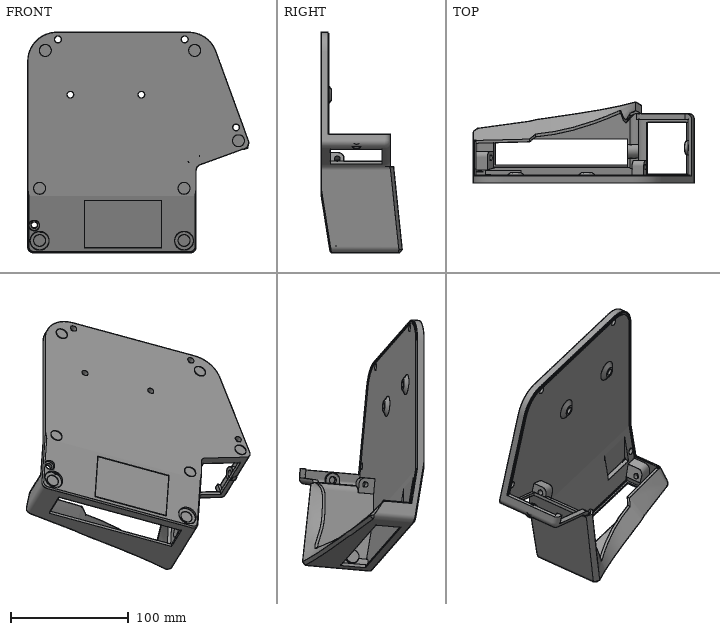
import cadquery as cq
import math

WIDTH = 187.6
HEIGHT = 187.3
BODY_WIDTH = 143.0
ARM_ANGLE = math.radians(20)
TIP_Z = 90.3
TOP_CORNER_RADIUS = 25.0
SMALL_RADIUS = 5.0
PLATE = 5.8
RIM_HEIGHT = 1.0
RIM_INSET = 1.1
RIM_WIDTH = 1.5

TILT = math.radians(9)
BEND_Z = 48.2
TOE_Y = BEND_Z * math.tan(TILT)
EDGE_CHAMFER = 1.1

WALL = 2.6
TALL = 84.5
OVERLAP = 0.2
FRONT_CORNER_Y = 46.2
SIDE_WALL_TOE_Z = 1.3
SIDE_WALL_Z = 16.0
SIDE_WALL_BACK_Y = 3.8
SIDE_WALL_Y = 34.5
ARM_TOP_Y = 59.0
ARM_EDGE_RADIUS = 4.5
STUB_TOP_Z = 100.8
LIP_THICKNESS = 2.5
ARM_LIP = 2.5
ARM_LIP_HEIGHT = 4.9

PEAK_Y = 68.9
PEAK_X = BODY_WIDTH - SMALL_RADIUS
LIP_EDGE_X = BODY_WIDTH + SMALL_RADIUS
EDGE_DROP = 6.0
FRONT_EDGE_Z = 2.8
FRONT_EDGE_DROP = 2.5
RIGHT_SLOPE = 0.104
CORNER_Z = 11.0
LIP_END_Z = 73.2
FRONT_LIP = [
    (0.0, 43.9, 36.0, 15.4),
    (3.8, 46.5, 36.2, 15.4),
    (47.8, 52.5, 37.3, 15.4),
    (53.1, 53.8, 41.7, 11.8),
    (78.8, 57.6, 45.8, 11.3),
    (102.8, 61.4, 53.0, CORNER_Z),
    (124.4, 65.5, 61.5, CORNER_Z),
]
STEP_STATION = 3
RIGHT_LIP = [
    (CORNER_Z, 124.4, 61.5),
    (24.4, 126.5, 58.2),
    (38.0, 128.2, 54.8),
    (50.7, 129.5, 53.7),
    (63.8, 130.0, 53.8),
    (LIP_END_Z, 133.2, 59.3),
]

SCREW_DIA = 5.5
TOP_SCREW_DIA = 5.6
FOOT_DIA = 10.1
FOOT_DEPTH = 0.5
FOOT_WELL_DIA = 16.0
FOOT_WELL_DEPTH = 2.3
COUNTERBORE_DIA = 8.8
COUNTERBORE_DEPTH = 2.3
TOP_SCREWS = [(25.7, 181.0), (133.2, 181.0)]
STANDOFF_SCREWS = [(36.2, 134.2), (96.5, 134.2)]
ARM_SCREW = (176.7, 106.4)
FLAT_FEET = [(15.0, 171.7), (141.7, 171.7), (178.8, 95.1), (10.1, 54.8), (132.7, 54.8)]
TILTED_FEET = [(10.1, 10.1), (132.7, 10.1)]
TILTED_SCREW = (5.6, 23.0)
STANDOFF_BASE_DIA = 17.3
STANDOFF_TOP_DIA = 9.0
STANDOFF_HEIGHT = 3.0

LABEL_X = (48.5, 113.5)
LABEL_Z = (4.3, 44.5)
LABEL_DEPTH = 0.8
POCKET_X = (10.7, 40.7)
POCKET_Z = (17.5, 47.0)
POCKET_FLOOR_Y = 6.8

FRONT_WINDOW_X = (18.8, 130.8)
FRONT_WINDOW_Y = (15.4, 37.3)
ARM_WINDOW_U = (-43.7, -7.7)
ARM_WINDOW_Y = (7.9, 51.5)
REBATE = 1.7
REBATE_DEPTH = 1.3

BOSS_HOLE_DIA = 4.5
END_HOLE_DIA = 6.0
END_BOSS_RADIUS = 6.0
END_BOSS_Y = 30.0
END_BOSS_V = 5.5
END_BOSS_LENGTH = 3.8
CORNER_BOSS_LENGTH = 10.5
CORNER_BOSS_DEPTH = 13.0
CORNER_BOSS_TOP_Y = 19.3
CORNER_BOSS_FOOT = (139.2, 69.5)
CORNER_BOSS_HOLE_Y = 13.7
CORNER_BOSS_HOLE_V = 7.5
COLUMN_RADIUS = 6.5
COLUMN_X = 139.5
COLUMN_Z = 3.8
COLUMN_FOOT_Y = TOE_Y + 1.9
COLUMN_TOP_Y = 60.0
PIN_RADIUS = 5.8
PIN_Y = 26.8
PIN_Z = 9.4
LEFT_BOSS_END_X = 18.4
LEFT_BOSS_BASE_X = 12.0
LEFT_BOSS_Z = 15.0
LEFT_BOSS_TOP_Y = 26.8
LEFT_BOSS_HOLE_Y = 21.5
LEFT_BOSS_HOLE_DEPTH = 5.6

SIN_ARM = math.sin(ARM_ANGLE)
COS_ARM = math.cos(ARM_ANGLE)
TIP_X = WIDTH + SMALL_RADIUS * (COS_ARM + SIN_ARM - 1)


def box(x, y, z):
    """Axis-aligned block from three (low, high) ranges."""
    size = (x[1] - x[0], y[1] - y[0], z[1] - z[0])
    return cq.Workplane("XY").box(*size, centered=False).translate((x[0], y[0], z[0]))


def side_profile(points, x=(0, WIDTH)):
    """Prism along X from a (y, z) outline."""
    return cq.Workplane("YZ", origin=(x[0], 0, 0)).polyline(points).close().extrude(x[1] - x[0])


def outline(inset, height):
    """Plate outline moved inwards by `inset`, extruded from Y = 0."""
    top_x = TIP_X - (HEIGHT - TIP_Z) * math.tan(ARM_ANGLE)
    notch_z = TIP_Z - (TIP_X - BODY_WIDTH) * math.tan(ARM_ANGLE)
    solid = cq.Workplane("XZ").polyline([
        (0, 0), (BODY_WIDTH, 0), (BODY_WIDTH, notch_z), (TIP_X, TIP_Z), (top_x, HEIGHT), (0, HEIGHT),
    ]).close().extrude(-height)
    solid = solid.edges("|Y").filter(lambda edge: edge.Center().z > HEIGHT - 1.9).fillet(TOP_CORNER_RADIUS)
    solid = solid.edges("|Y").filter(lambda edge: edge.Center().z < TIP_Z + 1.9).fillet(SMALL_RADIUS)
    if inset:
        wire = solid.faces("<Y").wires().toPending().workplane()
        solid = wire.offset2D(-inset).extrude(-height, combine=False)
    return solid


def ring(inset, width, height=TALL):
    return outline(inset, height).cut(outline(inset + width, height))


def plate_profile(thickness):
    rise = thickness / math.cos(TILT)
    return side_profile([
        (0, HEIGHT), (0, BEND_Z), (TOE_Y, 0), (TOE_Y + rise, 0), (thickness, BEND_Z), (thickness, HEIGHT),
    ])


def side_wall_profile(raised):
    """Low left wall with its sloping front end, raised for the locating rim."""
    return side_profile([
        (TOE_Y, 0), (FRONT_CORNER_Y + raised, 0), (FRONT_CORNER_Y + raised, SIDE_WALL_TOE_Z),
        (SIDE_WALL_Y + raised, SIDE_WALL_Z + raised), (SIDE_WALL_BACK_Y, SIDE_WALL_Z + raised),
    ], (0, SMALL_RADIUS))


def above_underside():
    return side_profile([(0, HEIGHT), (0, BEND_Z), (TOE_Y, 0), (TALL, 0), (TALL, HEIGHT)])


def tilted_plane(x, z):
    """Plane on the tilted outer face, looking along its outward normal."""
    origin = (x, TOE_Y - z * math.tan(TILT), z)
    return cq.Plane(origin=origin, xDir=(1, 0, 0), normal=(0, -math.cos(TILT), -math.sin(TILT)))


def y_cylinder(x, z, diameter, y0, y1):
    return cq.Workplane("XZ", origin=(x, y0, z)).circle(diameter / 2).extrude(y0 - y1)


def loft(sections, ruled):
    wires = [cq.Wire.makePolygon([cq.Vector(*p) for p in s], close=True) for s in sections]
    return cq.Workplane(obj=cq.Solid.makeLoft(wires, ruled))


def front_section(x, outer_y, inner_y, inner_z, low, high):
    """Cross-section of the front lip between two offsets from its dished surface."""
    toe_y = outer_y - FRONT_EDGE_DROP
    return [
        (x, toe_y + low, 0), (x, outer_y + low, FRONT_EDGE_Z), (x, inner_y + low, inner_z),
        (x, inner_y + high, inner_z), (x, outer_y + high, FRONT_EDGE_Z), (x, toe_y + high, 0),
    ]


def right_section(z, inner_x, inner_y, low, high):
    """Cross-section of the right lip between two offsets from its dished surface."""
    crest_y = PEAK_Y - RIGHT_SLOPE * (z - FRONT_EDGE_Z)
    edge_y = crest_y - EDGE_DROP
    return [
        (inner_x, inner_y + low, z), (PEAK_X, crest_y + low, z), (LIP_EDGE_X, edge_y + low, z),
        (LIP_EDGE_X, edge_y + high, z), (PEAK_X, crest_y + high, z), (inner_x, inner_y + high, z),
    ]


def dish_layer(low, high):
    """Layer that follows the dished lip surface, between two y offsets from it."""
    front = [front_section(*station, low, high) for station in FRONT_LIP]
    corner = [front[-1]]
    for x, drop in ((PEAK_X, 0), (LIP_EDGE_X, EDGE_DROP)):
        outer_y = PEAK_Y - drop
        inner_y = outer_y - RIGHT_SLOPE * (CORNER_Z - FRONT_EDGE_Z)
        corner.append(front_section(x, outer_y, inner_y, CORNER_Z, low, high))
    right = [right_section(*station, low, high) for station in RIGHT_LIP]
    layer = loft(front[:STEP_STATION + 1], True).union(loft(front[STEP_STATION:], False))
    return layer.union(loft(corner, True)).union(loft(right, False))


def build_plate():
    plate = outline(0, TALL).intersect(plate_profile(PLATE))
    rim = ring(RIM_INSET, RIM_WIDTH).intersect(plate_profile(PLATE + RIM_HEIGHT))
    plate = plate.union(rim)
    bumps = cq.Workplane("XZ", origin=(0, PLATE, 0)).pushPoints(STANDOFF_SCREWS)
    draft = math.degrees(math.atan((STANDOFF_BASE_DIA - STANDOFF_TOP_DIA) / 2 / STANDOFF_HEIGHT))
    return plate.union(bumps.circle(STANDOFF_BASE_DIA / 2).extrude(-STANDOFF_HEIGHT, taper=draft))


def build_walls():
    shell = ring(0, WALL).intersect(above_underside())
    right_x = (BODY_WIDTH - SMALL_RADIUS - WALL, WIDTH)
    front = shell.intersect(box((SMALL_RADIUS, WIDTH), (0, TALL), (0, SMALL_RADIUS)))
    right = shell.intersect(box(right_x, (0, TALL), (0, LIP_END_Z)))
    left = shell.intersect(side_wall_profile(0))
    left_rim = ring(RIM_INSET, WALL - RIM_INSET).intersect(side_wall_profile(RIM_HEIGHT))
    left_rim = left_rim.intersect(above_underside())
    walls = front.union(right).union(left).union(left_rim)
    walls = walls.cut(dish_layer(-LIP_THICKNESS / 2, TALL))
    arm_z = (LIP_END_Z, STUB_TOP_Z)
    arm = shell.intersect(box(right_x, (0, ARM_TOP_Y), arm_z))
    arm_lip = ring(WALL, ARM_LIP).intersect(box(right_x, (ARM_TOP_Y - ARM_LIP_HEIGHT, ARM_TOP_Y), arm_z))
    rounded = outline(0, ARM_TOP_Y).faces(">Y").edges().fillet(ARM_EDGE_RADIUS)
    return walls.union(arm.union(arm_lip).intersect(rounded))


def build_lip():
    return dish_layer(-LIP_THICKNESS, 0).intersect(outline(0, TALL))


def front_opening():
    window = box(FRONT_WINDOW_X, FRONT_WINDOW_Y, (-WALL, 2 * WALL))
    rebate = box((FRONT_WINDOW_X[0] - REBATE, FRONT_WINDOW_X[1]),
                 (FRONT_WINDOW_Y[0] - REBATE, FRONT_WINDOW_Y[1]), (WALL - REBATE_DEPTH, 2 * WALL))
    return window.union(rebate)


def arm_opening():
    return arm_aligned(box(ARM_WINDOW_U, ARM_WINDOW_Y, (-WALL, WALL + OVERLAP)))


def corner_boss():
    """Rounded lug in the inner corner between body and arm, with a hole along the arm."""
    lug = box((0, CORNER_BOSS_LENGTH), (PLATE / 2, CORNER_BOSS_TOP_Y), (0, CORNER_BOSS_DEPTH))
    lug = lug.edges("|X and >Y and >Z").fillet(SMALL_RADIUS)
    hole = cq.Workplane("YZ").center(CORNER_BOSS_HOLE_Y, CORNER_BOSS_HOLE_V).circle(BOSS_HOLE_DIA / 2)
    lug = lug.cut(hole.extrude(CORNER_BOSS_LENGTH))
    lug = lug.rotate((0, 0, 0), (0, 1, 0), -math.degrees(ARM_ANGLE))
    return lug.translate((CORNER_BOSS_FOOT[0], 0, CORNER_BOSS_FOOT[1]))


def arm_aligned(part):
    """Turn a part built along X into the arm direction and move it to the tip corner."""
    return part.rotate((0, 0, 0), (0, 1, 0), -math.degrees(ARM_ANGLE)).translate((TIP_X, 0, TIP_Z))


def end_boss_cylinder(radius, length):
    start = -WALL - END_BOSS_LENGTH
    circle = cq.Workplane("YZ", origin=(start, 0, 0)).center(END_BOSS_Y, END_BOSS_V).circle(radius)
    return circle.extrude(length)


def end_boss():
    """Round boss on the arm end wall with a foot down to the arm wall."""
    start = -WALL - END_BOSS_LENGTH
    foot_y = (END_BOSS_Y - END_BOSS_RADIUS, END_BOSS_Y + END_BOSS_RADIUS)
    foot = box((start, OVERLAP - WALL), foot_y, (WALL - OVERLAP, END_BOSS_V))
    return arm_aligned(end_boss_cylinder(END_BOSS_RADIUS, END_BOSS_LENGTH + OVERLAP).union(foot))


def end_boss_hole():
    return arm_aligned(end_boss_cylinder(END_HOLE_DIA / 2, END_BOSS_LENGTH + WALL / 2))


def column():
    return y_cylinder(COLUMN_X, COLUMN_Z, 2 * COLUMN_RADIUS, COLUMN_FOOT_Y, COLUMN_TOP_Y)


def pin():
    start = FRONT_WINDOW_X[1]
    circle = cq.Workplane("YZ", origin=(start, 0, 0)).center(PIN_Y, PIN_Z).circle(PIN_RADIUS)
    return circle.extrude(BODY_WIDTH - WALL - start + OVERLAP)


def left_boss():
    """Round-topped lug beside the left wall; its end face leans back towards the wall."""
    lean = math.atan((LEFT_BOSS_END_X - LEFT_BOSS_BASE_X) / (LEFT_BOSS_Z - WALL))
    inside = WALL - OVERLAP
    lug = cq.Workplane("XZ", origin=(0, COLUMN_FOOT_Y, 0)).polyline([
        (inside, inside), (LEFT_BOSS_END_X, inside), (LEFT_BOSS_END_X, WALL),
        (LEFT_BOSS_BASE_X, LEFT_BOSS_Z), (inside, LEFT_BOSS_Z),
    ]).close().extrude(COLUMN_FOOT_Y - LEFT_BOSS_TOP_Y)
    lug = lug.edges(">Y and >Z").fillet(SMALL_RADIUS)
    middle = ((LEFT_BOSS_END_X + LEFT_BOSS_BASE_X) / 2, LEFT_BOSS_HOLE_Y, (LEFT_BOSS_Z + WALL) / 2)
    face = cq.Plane(origin=middle, xDir=(0, 1, 0), normal=(math.cos(lean), 0, math.sin(lean)))
    return lug.cut(cq.Workplane(face).circle(BOSS_HOLE_DIA / 2).extrude(-LEFT_BOSS_HOLE_DEPTH))


def flat_holes():
    cuts = cq.Workplane("XZ").pushPoints(TOP_SCREWS).circle(TOP_SCREW_DIA / 2).extrude(-TALL)
    small = cq.Workplane("XZ").pushPoints(STANDOFF_SCREWS + [ARM_SCREW])
    cuts = cuts.union(small.circle(SCREW_DIA / 2).extrude(-TALL))
    feet = cq.Workplane("XZ").pushPoints(FLAT_FEET).circle(FOOT_DIA / 2).extrude(-FOOT_DEPTH)
    return cuts.union(feet)


def tilted_cut(x, z, diameter, depth):
    return cq.Workplane(tilted_plane(x, z)).circle(diameter / 2).extrude(-depth)


def tilted_cuts():
    cuts = tilted_cut(*TILTED_SCREW, COUNTERBORE_DIA, COUNTERBORE_DEPTH)
    cuts = cuts.union(tilted_cut(*TILTED_SCREW, SCREW_DIA, PLATE * 2))
    for x, z in TILTED_FEET:
        cuts = cuts.union(tilted_cut(x, z, FOOT_WELL_DIA, FOOT_WELL_DEPTH))
        cuts = cuts.union(tilted_cut(x, z, FOOT_DIA, FOOT_WELL_DEPTH + FOOT_DEPTH))
    plane = tilted_plane(sum(LABEL_X) / 2, sum(LABEL_Z) / 2)
    label = cq.Workplane(plane).rect(LABEL_X[1] - LABEL_X[0], (LABEL_Z[1] - LABEL_Z[0]) / math.cos(TILT))
    return cuts.union(label.extrude(-LABEL_DEPTH))


def tilted_border(solid):
    """Outer border edges of the tilted face."""
    plane = tilted_plane(0, 0)
    return solid.edges().filter(
        lambda e: all(abs(plane.toLocalCoords(p.Center()).z) < 0.02 for p in e.Vertices())
        and abs(plane.toLocalCoords(e.Center()).z) < 0.02 and e.Center().z < BEND_Z - 1.9)


body = build_plate().union(build_walls())
body = tilted_border(body).chamfer(EDGE_CHAMFER)
body = body.union(build_lip())
for part in (column(), pin(), left_boss(), corner_boss()):
    body = body.union(part.intersect(outline(0, TALL)))
body = body.cut(front_opening()).cut(arm_opening()).union(end_boss()).cut(end_boss_hole())
body = body.cut(box(POCKET_X, (POCKET_FLOOR_Y, POCKET_FLOOR_Y + PLATE), POCKET_Z))
result = body.cut(flat_holes()).cut(tilted_cuts())